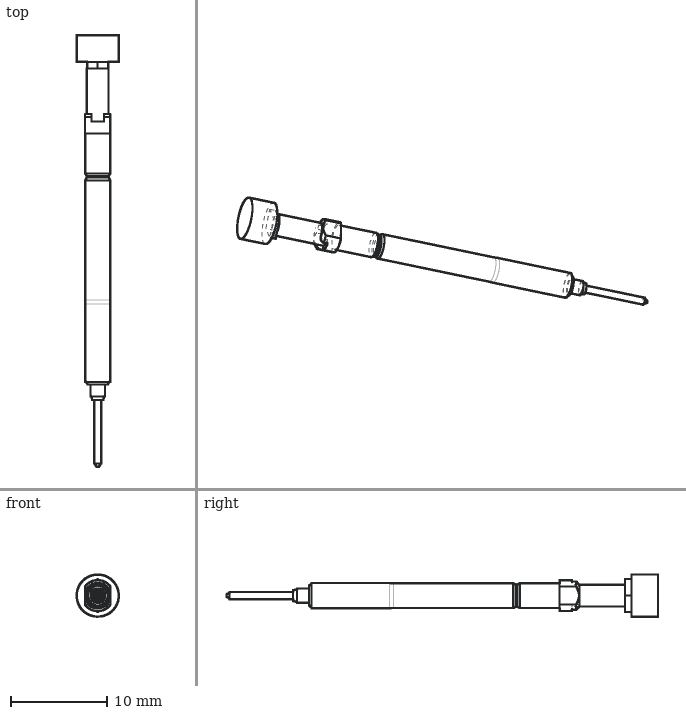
import cadquery as cq

length = 44.8
head_end = length / 2

head_length = 2.8
neck_end = 3.45
collar_start = 8.15
collar_end = 10.2
groove_start = 14.35
groove_end = 15.05
step_start = 27.45
step_end = 27.85
barrel_end = 35.97
shoulder_end = 36.25
ferrule_end = 37.45
ferrule_tip_end = 37.85
pin_taper_start = 44.45

head_diameter = 4.4
plunger_diameter = 2.3
collar_diameter = 3.23
barrel_diameter = 2.6
groove_floor_diameter = 2.35
rear_barrel_diameter = 2.65
shoulder_start_diameter = 2.4
shoulder_end_diameter = 2.05
ferrule_diameter = 1.52
ferrule_tip_start_diameter = 1.35
ferrule_tip_end_diameter = 1.15
pin_diameter = 0.75
pin_taper_diameter = 0.63
pin_point_diameter = 0.22

neck_width = 2.2
neck_height = 3.45

collar_chamfer = 0.35
collar_across_flats = rear_barrel_diameter
notch_width = 1.3
notch_length = 0.8

groove_floor_length = 0.2


def section_plane(station):
    """Plane across the axis at a station, extruding towards the pin tip (-Y)."""
    return cq.Workplane("XZ", origin=(0, head_end - station, 0))


def cylinder(start, end, diameter):
    return section_plane(start).circle(diameter / 2).extrude(end - start)


def cone(start, end, start_diameter, end_diameter):
    return (
        section_plane(start)
        .circle(start_diameter / 2)
        .workplane(offset=end - start)
        .circle(end_diameter / 2)
        .loft(ruled=True)
    )


def make_plunger():
    """Round head on a rhombic neck, followed by a plain rod running into the collar."""
    head = cylinder(0, head_length, head_diameter)
    neck = (
        section_plane(head_length)
        .polyline([
            (neck_width / 2, 0),
            (0, neck_height / 2),
            (-neck_width / 2, 0),
            (0, -neck_height / 2),
        ])
        .close()
        .extrude(neck_end - head_length)
    )
    rod = cylinder(neck_end, collar_end, plunger_diameter)
    return head.union(neck).union(rod)


def make_collar():
    """Chamfered disc with two side flats and a notch above and below."""
    collar_length = collar_end - collar_start
    disc = cylinder(collar_start, collar_end, collar_diameter).faces(">Y").chamfer(collar_chamfer)
    flats = section_plane(collar_start).rect(collar_across_flats, collar_diameter).extrude(collar_length)
    notches = section_plane(collar_start).rect(notch_width, collar_diameter).extrude(notch_length)
    return disc.intersect(flats).cut(notches)


def make_barrel():
    """Barrel with a slope-sided groove, a slightly larger rear length and a tapered shoulder."""
    groove_side = (groove_end - groove_start - groove_floor_length) / 2
    floor_start = groove_start + groove_side
    floor_end = groove_end - groove_side
    return (
        cylinder(collar_end, groove_start, barrel_diameter)
        .union(cone(groove_start, floor_start, barrel_diameter, groove_floor_diameter))
        .union(cylinder(floor_start, floor_end, groove_floor_diameter))
        .union(cone(floor_end, groove_end, groove_floor_diameter, barrel_diameter))
        .union(cylinder(groove_end, step_start, barrel_diameter))
        .union(cone(step_start, step_end, barrel_diameter, rear_barrel_diameter))
        .union(cylinder(step_end, barrel_end, rear_barrel_diameter))
        .union(cone(barrel_end, shoulder_end, shoulder_start_diameter, shoulder_end_diameter))
    )


def make_pin():
    """Ferrule with a tapered tip, carrying the thin pointed pin."""
    return (
        cylinder(shoulder_end, ferrule_end, ferrule_diameter)
        .union(cone(ferrule_end, ferrule_tip_end, ferrule_tip_start_diameter, ferrule_tip_end_diameter))
        .union(cylinder(ferrule_tip_end, pin_taper_start, pin_diameter))
        .union(cone(pin_taper_start, length, pin_taper_diameter, pin_point_diameter))
    )


result = make_collar().union(make_plunger()).union(make_barrel()).union(make_pin())